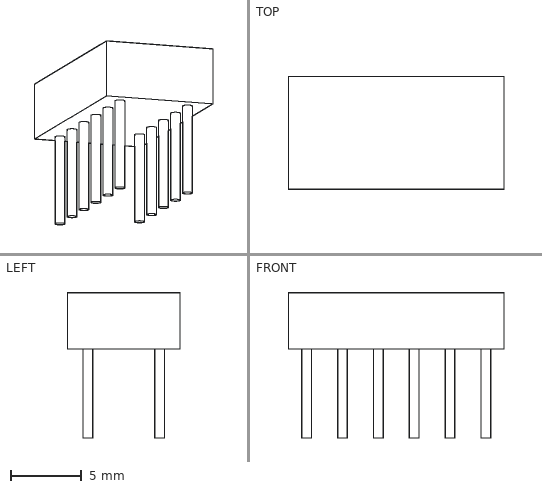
import cadquery as cq

body_length = 15.3
body_width = 8.0
body_height = 4.0

total_height = 10.3
pin_length = total_height - body_height
pin_diameter = 0.7
pin_pitch = 2.54
row_spacing = 2 * pin_pitch
positions_per_row = 6
front_row_pins = 5
rear_row_pins = positions_per_row


def pin_row(y, pin_count):
    """Pins of one row, filled from the -X end, hanging from the body's underside."""
    first_x = -pin_pitch * (positions_per_row - 1) / 2
    centers = [(first_x + index * pin_pitch, y) for index in range(pin_count)]
    return cq.Workplane("XY").pushPoints(centers).circle(pin_diameter / 2).extrude(-pin_length)


body = cq.Workplane("XY").box(body_length, body_width, body_height, centered=(True, True, False))
front_row = pin_row(-row_spacing / 2, front_row_pins)
rear_row = pin_row(row_spacing / 2, rear_row_pins)

result = body.union(front_row).union(rear_row)